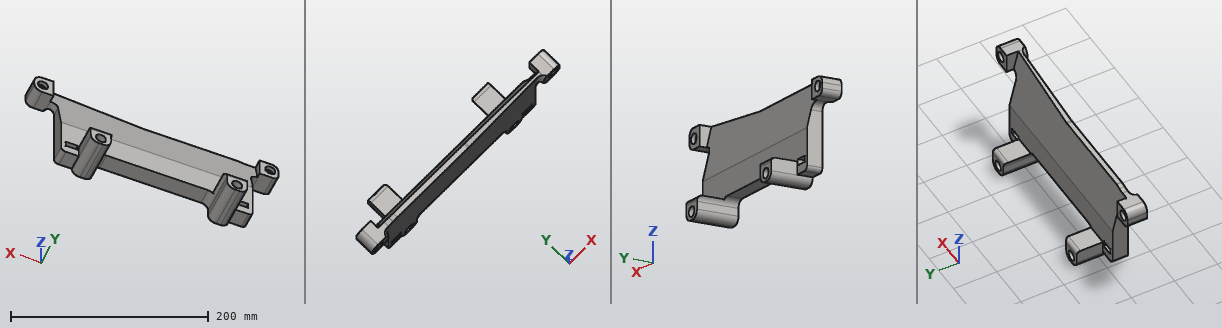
import cadquery as cq
import math

half_width = 134.8
plate_half_width = 106.0
plate_top = 95.1
plate_depth = 18.0
corner_radius = 5.0
inside_radius = 8.0

knee_height = 45.0
back_slope = 0.238

lug_front = -6.0
lug_back = 17.0
lug_inner = 113.7
lug_radius = 8.4
left_lug_bottom = 72.5
left_lug_top = 93.5
left_lug_low_radius = 6.5
right_lug_bottom = 84.5
right_lug_top = 107.3
upper_holes = [(-125.5, 83.5), (125.3, 95.7)]
pad_radius = 14.8

step_start = -105.0
step_end = -92.5
ramp_start = 10.0
ramp_radius = 14.8

lower_hole_x = 75.2
boss_half_width = 11.0
boss_bottom = -9.0
boss_radius = 8.5
arch_top = 16.2
tower_top = 14.0
tower_back = 48.5
tower_round = 4.3

bore_diameter = 11.0
mouth_diameter = 13.0
mouth_depth = 17.5
slot_width = 13.5
slot_height = 6.5
slot_x = 94.0
slot_z = 13.0

boss_outer = lower_hole_x + boss_half_width
boss_inner = lower_hole_x - boss_half_width


def extrude_y(sketch, start, end):
    """Extrude a sketch on the XZ plane from y = start to y = end."""
    return sketch.extrude(start - end).translate((0, start, 0))


def box(x_range, y_range, z_range):
    """Box between opposite limits on each axis."""
    size = [high - low for low, high in (x_range, y_range, z_range)]
    return cq.Workplane("XY").box(*size, centered=False).translate((x_range[0], y_range[0], z_range[0]))


def round_corners(body, corners, radius):
    """Round the edges along Y that pass through the given (x, z) corners."""
    reach = 0.13
    far = half_width
    for x, z in corners:
        selector = cq.selectors.BoxSelector((x - reach, -far, z - reach), (x + reach, far, z + reach))
        body = body.edges("|Y").edges(selector).fillet(radius)
    return body


def make_outline(start, end):
    """Whole front silhouette with its rounded corners."""
    step_middle = ((step_start + step_end) / 2, (left_lug_top + plate_top) / 2)
    sketch = (
        cq.Workplane("XZ")
        .moveTo(-half_width, left_lug_bottom)
        .lineTo(-half_width, left_lug_top)
        .lineTo(step_start, left_lug_top)
        .tangentArcPoint(step_middle, relative=False)
        .tangentArcPoint((step_end, plate_top), relative=False)
        .lineTo(ramp_start, plate_top)
        .lineTo(lug_inner, right_lug_top)
        .lineTo(half_width, right_lug_top)
        .lineTo(half_width, right_lug_bottom)
        .lineTo(plate_half_width, right_lug_bottom)
        .lineTo(plate_half_width, 0)
        .lineTo(boss_outer, 0)
        .lineTo(boss_outer, boss_bottom)
        .lineTo(boss_inner, boss_bottom)
        .lineTo(boss_inner, arch_top)
        .lineTo(-boss_inner, arch_top)
        .lineTo(-boss_inner, boss_bottom)
        .lineTo(-boss_outer, boss_bottom)
        .lineTo(-boss_outer, 0)
        .lineTo(-plate_half_width, 0)
        .lineTo(-plate_half_width, left_lug_bottom)
        .close()
    )
    body = extrude_y(sketch, start, end)
    right_corners = [(half_width, right_lug_top), (half_width, right_lug_bottom)]
    body = round_corners(body, right_corners + [(-half_width, left_lug_top)], lug_radius)
    body = round_corners(body, [(-half_width, left_lug_bottom)], left_lug_low_radius)
    body = round_corners(body, [(ramp_start, plate_top)], ramp_radius)
    inside_corners = [(-plate_half_width, left_lug_bottom), (plate_half_width, right_lug_bottom)]
    for side in (-1, 1):
        inside_corners.append((side * boss_inner, arch_top))
        body = round_corners(body, [(side * plate_half_width, 0)], corner_radius)
        boss_corners = [(side * boss_outer, boss_bottom), (side * boss_inner, boss_bottom)]
        body = round_corners(body, boss_corners, boss_radius)
    return round_corners(body, inside_corners, inside_radius)


def make_plate(outline):
    """Plate with a vertical lower back face and a leaning upper one."""
    top_depth = plate_depth - back_slope * (right_lug_top - knee_height)
    profile = (
        cq.Workplane("YZ", origin=(-half_width, 0, 0))
        .moveTo(0, boss_bottom)
        .lineTo(plate_depth, boss_bottom)
        .lineTo(plate_depth, knee_height)
        .lineTo(top_depth, right_lug_top)
        .lineTo(0, right_lug_top)
        .close()
        .extrude(2 * half_width)
    )
    return outline.intersect(profile)


def make_pad(x, z):
    """Raised disc around an upper hole, flared concavely down to the plate."""
    flare = -lug_front
    diagonal = flare * (1 - math.sqrt(0.5))
    return (
        cq.Workplane("XY")
        .moveTo(0, 0)
        .lineTo(pad_radius + flare, 0)
        .threePointArc((pad_radius + diagonal, -diagonal), (pad_radius, lug_front))
        .lineTo(0, lug_front)
        .close()
        .revolve(360, (0, 0, 0), (0, 1, 0))
        .translate((x, 0, z))
    )


def make_lug(outline, side, hole):
    """Full-depth lug block plus its flared front pad, trimmed to the silhouette."""
    x_range = sorted((side * lug_inner, side * half_width))
    hole_range = sorted((hole[0], side * half_width))
    z_range = (left_lug_bottom, right_lug_top)
    block = box(x_range, (0, lug_back), z_range)
    front = box(hole_range, (lug_front, 0), z_range)
    return outline.intersect(block.union(front).union(make_pad(*hole)))


def make_tower(outline, side):
    """Long boss behind the plate around a lower hole, rounded at its top back edge."""
    arch_root = boss_inner - inside_radius
    x_range = sorted((side * arch_root, side * boss_outer))
    block = box(x_range, (0, tower_back), (boss_bottom, tower_top))
    block = block.edges("|X and >Y and >Z").fillet(tower_round)
    return outline.intersect(block)


def make_bore(x, z, front):
    """Through hole with a wider, flat-bottomed mouth."""
    center = cq.Workplane("XZ", origin=(x, 0, z))
    bore = extrude_y(center.circle(bore_diameter / 2), front, tower_back)
    mouth = extrude_y(center.circle(mouth_diameter / 2), front, front + mouth_depth)
    return bore.union(mouth)


outline = make_outline(lug_front, tower_back)
result = make_plate(outline)
for side, hole in zip((-1, 1), upper_holes):
    result = result.union(make_lug(outline, side, hole))
    result = result.union(make_tower(outline, side))

for x, z in upper_holes:
    result = result.cut(make_bore(x, z, lug_front))

for side in (-1, 1):
    result = result.cut(make_bore(side * lower_hole_x, 0, 0))
    slot = cq.Workplane("XZ").center(side * slot_x, slot_z).rect(slot_width, slot_height)
    result = result.cut(extrude_y(slot, 0, plate_depth))